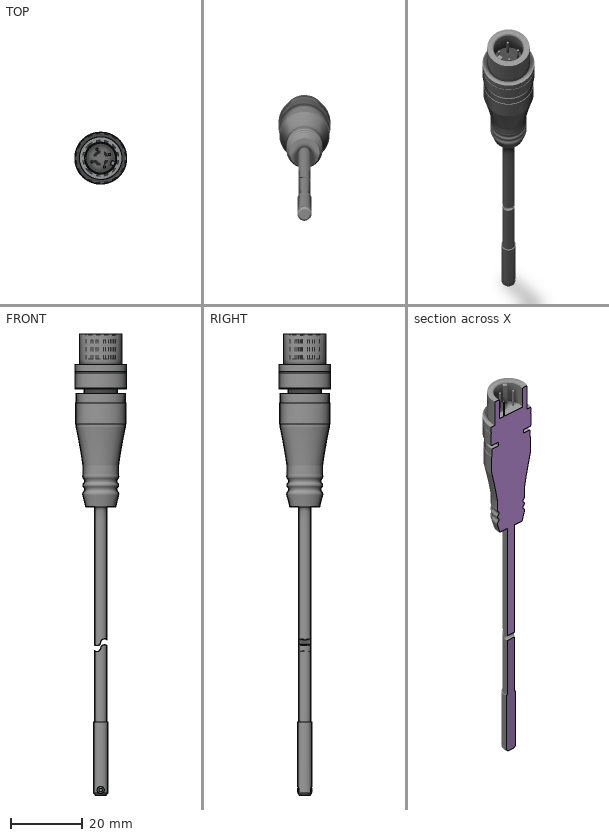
import cadquery as cq

TOTAL_LENGTH = 129.73

CABLE_DIAMETER = 3.5
BREAK_CENTRE_Z = 42.22
BREAK_GAP = 1.6
BREAK_HALF_WIDTH = 2.0
BREAK_END_RISE = 0.4
BREAK_CREST_X = 1.15
BREAK_CREST_RISE = 0.95

SENSOR_DIAMETER = 4.0
SENSOR_LENGTH = 20.7
TIP_CHAMFER_WIDTH = 0.5
TIP_CHAMFER_HEIGHT = 0.7
MARK_DIAMETER = 2.0
MARK_CORE_DIAMETER = 1.0
MARK_Z = 1.5
MARK_DEPTH = 0.1

PLUG_DIAMETER = 12.0
PLUG_LENGTH = 8.6
COLLAR_DIAMETER = 14.6
COLLAR_LENGTH = 6.95
COLLAR_GROOVE_DIAMETER = 14.4
COLLAR_GROOVE_WIDTH = 0.4
COLLAR_GROOVE_OFFSET = 1.95
COLLAR_LIP_HEIGHT = 0.35
NECK_DIAMETER = 9.3
NECK_LENGTH = 1.15

SHOULDER_DIAMETER = 13.8
UPPER_SHOULDER_LENGTH = 2.7
GRIP_DIAMETER = 14.2
GRIP_LENGTH = 5.9
LOWER_SHOULDER_LENGTH = 0.95
TAPER_LENGTH = 10.75
TAPER_SAG = 0.1
RELIEF_DIAMETER = 10.0
RELIEF_LENGTH = 2.63
RIB_HEIGHT = 1.17
RIB_COUNT = 3
RIB_BULGE = 0.05
RIB_ROOT_DEPTH = 0.25
RIB_GROOVE_DEPTH = 0.45
END_DIAMETER = 8.4
END_LENGTH = 3.12

SOCKET_DIAMETER = 8.4
SOCKET_MOUTH_DIAMETER = 9.0
SOCKET_DEPTH = 7.0
PIN_DIAMETER = 0.6
PIN_COUNT = 4
PIN_CIRCLE_RADIUS = 2.7
PIN_RECESS = 1.7
KEY_ANGLE = -22.5
KEY_WIDTH = 1.2
KEY_HEIGHT = 1.0
KEY_RECESS = 0.45


def break_tool():
    """S-shaped slab that parts the cable, curved in XZ and straight along Y."""
    top = BREAK_CENTRE_Z + BREAK_GAP / 2
    bottom = top - BREAK_GAP
    return (
        cq.Workplane("XZ")
        .moveTo(-BREAK_HALF_WIDTH, top - BREAK_END_RISE)
        .threePointArc((-BREAK_CREST_X, top - BREAK_CREST_RISE), (0, top))
        .threePointArc((BREAK_CREST_X, top + BREAK_CREST_RISE), (BREAK_HALF_WIDTH, top + BREAK_END_RISE))
        .lineTo(BREAK_HALF_WIDTH, bottom + BREAK_END_RISE)
        .threePointArc((BREAK_CREST_X, bottom + BREAK_CREST_RISE), (0, bottom))
        .threePointArc((-BREAK_CREST_X, bottom - BREAK_CREST_RISE), (-BREAK_HALF_WIDTH, bottom - BREAK_END_RISE))
        .close()
        .extrude(CABLE_DIAMETER, both=True)
    )


def connector_shell():
    """Plug, collar, grip and strain relief, turned about Z from the rim down."""
    plug_r = PLUG_DIAMETER / 2
    collar_r = COLLAR_DIAMETER / 2
    groove_r = COLLAR_GROOVE_DIAMETER / 2
    neck_r = NECK_DIAMETER / 2
    shoulder_r = SHOULDER_DIAMETER / 2
    grip_r = GRIP_DIAMETER / 2
    relief_r = RELIEF_DIAMETER / 2

    collar_z = TOTAL_LENGTH - PLUG_LENGTH
    groove_z = collar_z - COLLAR_GROOVE_OFFSET
    groove_bottom_z = groove_z - COLLAR_GROOVE_WIDTH
    neck_z = collar_z - COLLAR_LENGTH
    lip_z = neck_z + COLLAR_LIP_HEIGHT
    upper_shoulder_z = neck_z - NECK_LENGTH
    grip_z = upper_shoulder_z - UPPER_SHOULDER_LENGTH
    lower_shoulder_z = grip_z - GRIP_LENGTH
    taper_z = lower_shoulder_z - LOWER_SHOULDER_LENGTH
    relief_z = taper_z - TAPER_LENGTH
    ribs_z = relief_z - RELIEF_LENGTH
    taper_middle = ((shoulder_r + relief_r) / 2 - TAPER_SAG, (taper_z + relief_z) / 2)

    outline = (
        cq.Workplane("XZ")
        .moveTo(0, TOTAL_LENGTH)
        .lineTo(plug_r, TOTAL_LENGTH)
        .lineTo(plug_r, collar_z)
        .lineTo(collar_r, collar_z)
        .lineTo(collar_r, groove_z)
        .lineTo(groove_r, groove_z)
        .lineTo(groove_r, groove_bottom_z)
        .lineTo(collar_r, groove_bottom_z)
        .lineTo(collar_r, lip_z)
        .lineTo(groove_r, lip_z)
        .lineTo(groove_r, neck_z)
        .lineTo(neck_r, neck_z)
        .lineTo(neck_r, upper_shoulder_z)
        .lineTo(shoulder_r, upper_shoulder_z)
        .lineTo(shoulder_r, grip_z)
        .lineTo(grip_r, grip_z)
        .lineTo(grip_r, lower_shoulder_z)
        .lineTo(shoulder_r, lower_shoulder_z)
        .lineTo(shoulder_r, taper_z)
        .threePointArc(taper_middle, (relief_r, relief_z))
        .lineTo(relief_r, ribs_z)
    )

    z = ribs_z
    root_r = relief_r - RIB_ROOT_DEPTH
    for rib in range(RIB_COUNT):
        last = rib == RIB_COUNT - 1
        rib_end_r = relief_r if last else root_r
        outline = outline.threePointArc((relief_r + RIB_BULGE, z - RIB_HEIGHT / 2), (rib_end_r, z - RIB_HEIGHT))
        z -= RIB_HEIGHT
        if not last:
            outline = outline.threePointArc(
                (relief_r - RIB_GROOVE_DEPTH, z - RIB_HEIGHT / 2), (root_r, z - RIB_HEIGHT)
            )
            z -= RIB_HEIGHT

    end_z = z - END_LENGTH
    return (
        outline.lineTo(END_DIAMETER / 2, end_z)
        .lineTo(0, end_z)
        .close()
        .revolve(360, (0, 0, 0), (0, 1, 0))
    )


def socket_recess():
    """Bore in the plug with a chamfered mouth, less its pins and its key."""
    floor_z = TOTAL_LENGTH - SOCKET_DEPTH
    mouth_chamfer = (SOCKET_MOUTH_DIAMETER - SOCKET_DIAMETER) / 2
    bore_r = SOCKET_DIAMETER / 2
    bore = (
        cq.Workplane("XZ")
        .moveTo(0, TOTAL_LENGTH)
        .lineTo(SOCKET_MOUTH_DIAMETER / 2, TOTAL_LENGTH)
        .lineTo(bore_r, TOTAL_LENGTH - mouth_chamfer)
        .lineTo(bore_r, floor_z)
        .lineTo(0, floor_z)
        .close()
        .revolve(360, (0, 0, 0), (0, 1, 0))
    )
    floor = cq.Workplane("XY").workplane(offset=floor_z)
    first_pin_angle = KEY_ANGLE + 180 / PIN_COUNT
    pins = (
        floor.polarArray(PIN_CIRCLE_RADIUS, first_pin_angle, 360, PIN_COUNT)
        .circle(PIN_DIAMETER / 2)
        .extrude(SOCKET_DEPTH - PIN_RECESS)
    )
    key = (
        floor.center(bore_r, 0)
        .rect(2 * KEY_HEIGHT, KEY_WIDTH)
        .extrude(SOCKET_DEPTH - KEY_RECESS)
        .rotate((0, 0, 0), (0, 0, 1), KEY_ANGLE)
    )
    return bore.cut(pins).cut(key)


def sensor_sleeve():
    """Sleeve with a chamfered tip and a shallow ring-shaped recess on its -Y and +Y sides."""
    sleeve_r = SENSOR_DIAMETER / 2
    sleeve = (
        cq.Workplane("XZ")
        .lineTo(sleeve_r - TIP_CHAMFER_WIDTH, 0)
        .lineTo(sleeve_r, TIP_CHAMFER_HEIGHT)
        .lineTo(sleeve_r, SENSOR_LENGTH)
        .lineTo(0, SENSOR_LENGTH)
        .close()
        .revolve(360, (0, 0, 0), (0, 1, 0))
    )
    recess_floor = cq.Workplane("XY").circle(sleeve_r - MARK_DEPTH).extrude(SENSOR_LENGTH)
    marks = (
        cq.Workplane("XZ", origin=(0, 0, MARK_Z))
        .circle(MARK_DIAMETER / 2)
        .circle(MARK_CORE_DIAMETER / 2)
        .extrude(sleeve_r, both=True)
        .cut(recess_floor)
    )
    return sleeve.cut(marks)


shell = connector_shell()
boot_end_z = shell.val().BoundingBox().zmin
cable = (
    cq.Workplane("XY")
    .workplane(offset=SENSOR_LENGTH)
    .circle(CABLE_DIAMETER / 2)
    .extrude(boot_end_z - SENSOR_LENGTH)
    .cut(break_tool())
)
connector = shell.cut(socket_recess()).union(cable.solids(">Z"))
sensor = sensor_sleeve().union(cable.solids("<Z"))

result = cq.Compound.makeCompound([connector.val(), sensor.val()])